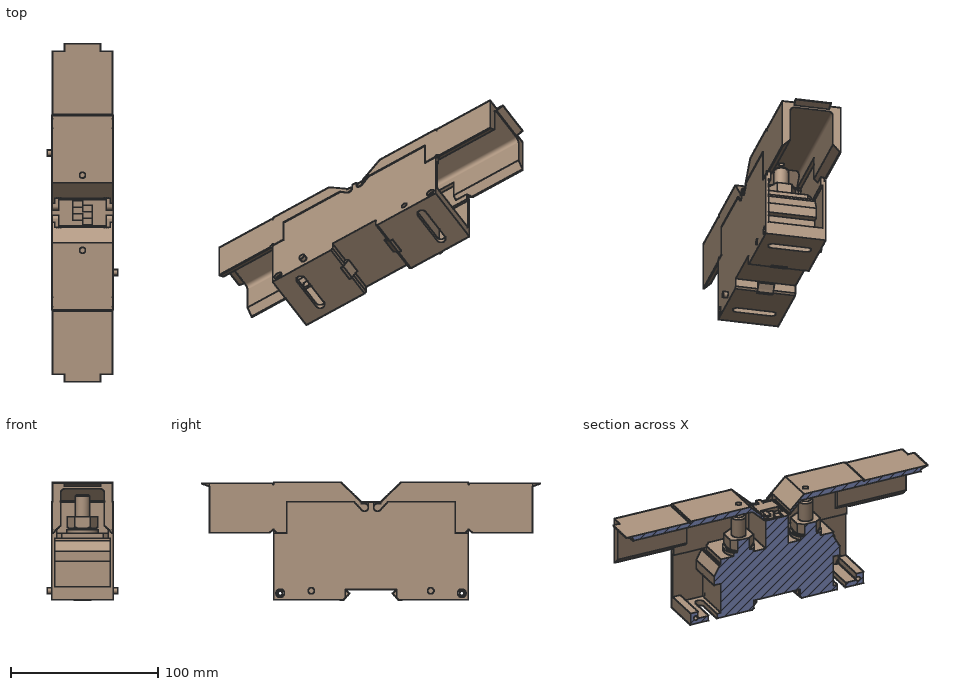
import cadquery as cq
import math


BODY_WIDTH = 42.0
BODY_LENGTH = 132.0
BODY_HEIGHT = 66.5
SHOULDER_Y = 57.2
SHOULDER_Z = 45.2

RAIL_WIDTH = 35.0
RAIL_DEPTH = 7.0
RAIL_LEAD_IN = 1.3
CLIP_WIDTH = 11.0
CLIP_DROP = 0.33
CLIP_REACH = 3.0
CLIP_TIP_Z = 4.4
CLIP_FOOT_END_Y = 21.0

SCREW_Y = 61.7
SCREW_Z = 4.5
SCREW_HOLE_D = 3.0
SCREW_HEAD_D = 5.6
SCREW_HEAD_DEPTH = 2.0
PIN_Y = 40.5
PIN_Z = 6.2
PIN_D = 4.2
PIN_REACH = 3.0
PIN_HOLE_DEPTH = 4.0

SHOULDER_CORE_WIDTH = 40.0
LOWER_CHAMBER_WIDTH = 38.0
UPPER_CHAMBER_WIDTH = 35.0
SILL_Z = 9.0
SILL_DEPTH = 5.8
FLOOR_Z = 4.0
BACK_WALL_Y = 43.0
NOSE_REACH = 5.0
NOSE_BOTTOM_Z = 26.1
NOSE_TOP_Z = 33.1
NOSE_SLOPE_TOP_Z = 40.3
NOSE_SLOPE_RUN = 4.0
TERMINAL_FLOOR_Z = 41.7
FLOOR_SLOT_LENGTH = 30.0
FLOOR_SLOT_WIDTH = 6.2
FLOOR_SLOT_Y = 49.0

STUD_Y = 25.5
STUD_D = 10.0
STUD_TOP_Z = 71.4
STUD_CHAMFER = 1.2
BUSBAR_TOP_Z = 45.2
BUSBAR_END_Y = 43.0
BUSBAR_CORNER = 3.5
WASHER_D = 21.6
WASHER_TOP_Z = 47.5
COLLAR_D = 18.0
COLLAR_TOP_Z = 48.6
NUT_CORNER_D = 20.4
NUT_TOP_Z = 56.6
NUT_CHAMFER = 0.8

COVER_WIDTH = 41.0
COVER_TOP_Z = 80.0
COVER_BOTTOM_Z = 45.5
COVER_END_Y = 109.7
SLOPE_START_Y = 20.5
SLOPE_FOOT_Y = 6.5
EXTENSION_TOP_Z = 79.3
TUNNEL_WIDTH = 29.8
TUNNEL_TOP_Z = 75.4
TUNNEL_RADIUS = 3.0
WALL_FOOT_BEVEL = 4.9
ROOF_EDGE_UNDERSIDE_Z = 67.0
SCORE_Y = 66.3
SCORE_HALF_WIDTH = 2.6
SCORE_HEIGHT = 2.2
TOP_SCORE_HALF_WIDTH = 0.5
TOP_SCORE_Z = 78.3
PROBE_HOLE_D = 4.0
TAB_WIDTH = 24.6
OVERALL_LENGTH = 229.5
TAB_TIP_THICKNESS = 0.5
TAB_ROOT_THICKNESS = 2.3

ARM_Y = 4.4
ARM_Z = 62.8
ARM_RADIUS = 2.6
ARM_UNDERSIDE_Y = 11.4
ARM_INNER_X = 16.1
CHEEK_INNER_X = 19.0
ROOF_END_Y = 10.0
HINGE_SLOT_END_Y = 1.7

PANEL_HALF_LENGTH = 8.9
GAP_DEPTH = 1.5
WINDOW_WIDTH = 6.5
WINDOW_CELL = 4.4
WINDOW_START_Y = 8.0
WINDOW_STEP = 1.0
WINDOW_CELLS = 3

body_end = BODY_LENGTH / 2
tab_end = OVERALL_LENGTH / 2
rail_half = RAIL_WIDTH / 2
slope_run_per_height = (SLOPE_START_Y - SLOPE_FOOT_Y) / (COVER_TOP_Z - BODY_HEIGHT)


def box(x0, x1, y0, y1, z0, z1):
    """Box between two opposite corners."""
    return cq.Workplane("XY").box(x1 - x0, y1 - y0, z1 - z0, centered=False).translate((x0, y0, z0))


def across(outline, width):
    """Solid from a (Y, Z) outline, centred across X."""
    return cq.Workplane("YZ").polyline(outline).close().extrude(width / 2, both=True)


def x_cylinder(diameter, x0, x1, y, z):
    """Cylinder lying along X."""
    return cq.Workplane("YZ").center(y, z).circle(diameter / 2).extrude(x1 - x0).translate((x0, 0, 0))


def z_cylinder(diameter, y, z0, z1):
    """Upright cylinder on the centre plane."""
    return cq.Workplane("XY", origin=(0, y, z0)).circle(diameter / 2).extrude(z1 - z0)


def half_turn(shape):
    """The same shape at the opposite end."""
    return shape.rotate((0, 0, 0), (0, 0, 1), 180)


def mirror_x(shape):
    return shape.mirror("YZ")


def rail_notch():
    lead_in = rail_half + RAIL_LEAD_IN
    outline = [
        (-lead_in, 0), (-rail_half, RAIL_LEAD_IN), (-rail_half, RAIL_DEPTH),
        (rail_half, RAIL_DEPTH), (rail_half, RAIL_LEAD_IN), (lead_in, 0),
    ]
    return across(outline, BODY_WIDTH)


def rail_clip():
    outline = [
        (rail_half, RAIL_DEPTH),
        (rail_half - CLIP_REACH, CLIP_TIP_Z),
        (rail_half, RAIL_LEAD_IN),
        (rail_half + RAIL_LEAD_IN, -CLIP_DROP),
        (CLIP_FOOT_END_Y, -CLIP_DROP),
        (CLIP_FOOT_END_Y, RAIL_DEPTH),
    ]
    return across(outline, CLIP_WIDTH)


def terminal_chamber():
    """Open end of the housing: stepped lower pocket, upper pocket and slotted floor."""
    sill_y = body_end - SILL_DEPTH
    nose_y = BACK_WALL_Y + NOSE_REACH
    nose_top_y = nose_y - NOSE_SLOPE_RUN
    lower = across([
        (body_end, SILL_Z), (sill_y, SILL_Z), (sill_y, FLOOR_Z), (BACK_WALL_Y, FLOOR_Z),
        (BACK_WALL_Y, NOSE_BOTTOM_Z), (nose_y, NOSE_BOTTOM_Z), (nose_y, NOSE_TOP_Z),
        (nose_top_y, NOSE_SLOPE_TOP_Z), (nose_top_y, TERMINAL_FLOOR_Z), (body_end, TERMINAL_FLOOR_Z),
    ], LOWER_CHAMBER_WIDTH)
    half = UPPER_CHAMBER_WIDTH / 2
    upper = box(-half, half, PANEL_HALF_LENGTH, body_end, TERMINAL_FLOOR_Z, BODY_HEIGHT)
    slot = cq.Workplane("XY", origin=(0, FLOOR_SLOT_Y, 0))
    slot = slot.slot2D(FLOOR_SLOT_LENGTH, FLOOR_SLOT_WIDTH).extrude(FLOOR_Z)
    return lower.union(upper).union(slot)


def hinge_arm():
    """Round-ended hinge arm on the +X side, running down along the cover slope."""
    diagonal = ARM_RADIUS * math.sqrt(0.5)
    thickness = COVER_WIDTH / 2 - ARM_INNER_X
    shank = (
        cq.Workplane("YZ")
        .polyline([
            (ARM_Y, ARM_Z), (ARM_Y, ARM_Z + ARM_RADIUS), (SLOPE_FOOT_Y, ARM_Z + ARM_RADIUS),
            (SLOPE_FOOT_Y, BODY_HEIGHT), (ARM_UNDERSIDE_Y, BODY_HEIGHT), (ARM_Y + diagonal, ARM_Z - diagonal),
        ])
        .close().extrude(thickness).translate((ARM_INNER_X, 0, 0))
    )
    knuckle = x_cylinder(2 * ARM_RADIUS, ARM_INNER_X, COVER_WIDTH / 2, ARM_Y, ARM_Z)
    return shank.union(knuckle)


def hinge_slot():
    """Room for one hinge arm, open to the side and the top of the housing."""
    side = BODY_WIDTH / 2
    opening = box(ARM_INNER_X, side, HINGE_SLOT_END_Y, SLOPE_FOOT_Y, ARM_Z, BODY_HEIGHT)
    relief = box(ARM_INNER_X, CHEEK_INNER_X, SLOPE_FOOT_Y, ROOF_END_Y, ARM_Z, BODY_HEIGHT)
    clearance = hinge_arm().union(hinge_arm().translate((side - COVER_WIDTH / 2, 0, 0)))
    return opening.union(relief).union(clearance)


def panel_gap():
    """Shallow gap between the centre panel and the end of the cover roof."""
    top = BODY_HEIGHT
    return box(-CHEEK_INNER_X, CHEEK_INNER_X, PANEL_HALF_LENGTH, ROOF_END_Y, top - GAP_DEPTH, top)


def panel_window():
    """Column of stepped cells in the centre panel."""
    cells = cq.Workplane("XY")
    for i in range(WINDOW_CELLS):
        y = WINDOW_START_Y - i * WINDOW_CELL
        depth = (WINDOW_CELLS - i) * WINDOW_STEP
        cells = cells.union(box(-WINDOW_WIDTH, 0, y - WINDOW_CELL, y, BODY_HEIGHT - depth, BODY_HEIGHT))
    return cells


def screw_hole():
    side = BODY_WIDTH / 2
    bore = x_cylinder(SCREW_HOLE_D, -side, side, SCREW_Y, SCREW_Z)
    head = x_cylinder(SCREW_HEAD_D, side - SCREW_HEAD_DEPTH, side, SCREW_Y, SCREW_Z)
    return bore.union(head).union(mirror_x(head))


def pin_hole():
    side = BODY_WIDTH / 2
    return x_cylinder(PIN_D, side - PIN_HOLE_DEPTH, side, PIN_Y, PIN_Z)


def coupling_pin():
    side = BODY_WIDTH / 2
    return x_cylinder(PIN_D, -side - PIN_REACH, -side + PIN_REACH, PIN_Y, PIN_Z)


def housing():
    side = BODY_WIDTH / 2
    shape = box(-side, side, -body_end, body_end, 0, BODY_HEIGHT).cut(rail_notch())
    shoulder = box(SHOULDER_CORE_WIDTH / 2, side, SHOULDER_Y, body_end, SHOULDER_Z, BODY_HEIGHT)
    cuts = [
        shoulder, mirror_x(shoulder), terminal_chamber(), hinge_slot(), mirror_x(hinge_slot()),
        panel_gap(), panel_window(), screw_hole(), pin_hole(),
    ]
    for cut in cuts:
        shape = shape.cut(cut).cut(half_turn(cut))
    for added in (rail_clip(), coupling_pin()):
        shape = shape.union(added).union(half_turn(added))
    return shape


def terminal():
    """Busbar with washer, nut and threaded stud."""
    half = UPPER_CHAMBER_WIDTH / 2
    busbar = box(-half, half, PANEL_HALF_LENGTH, BUSBAR_END_Y, TERMINAL_FLOOR_Z, BUSBAR_TOP_Z)
    busbar = busbar.edges("|Z and >Y").chamfer(BUSBAR_CORNER)
    washer = z_cylinder(WASHER_D, STUD_Y, BUSBAR_TOP_Z, WASHER_TOP_Z)
    collar = z_cylinder(COLLAR_D, STUD_Y, WASHER_TOP_Z, COLLAR_TOP_Z)
    nut = cq.Workplane("XY", origin=(0, STUD_Y, COLLAR_TOP_Z))
    nut = nut.polygon(6, NUT_CORNER_D).extrude(NUT_TOP_Z - COLLAR_TOP_Z)
    rounding = z_cylinder(NUT_CORNER_D, STUD_Y, COLLAR_TOP_Z, NUT_TOP_Z).faces("<Z").chamfer(NUT_CHAMFER)
    nut = nut.intersect(rounding).union(collar)
    stud = z_cylinder(STUD_D, STUD_Y, TERMINAL_FLOOR_Z, STUD_TOP_Z).faces(">Z").chamfer(STUD_CHAMFER)
    return busbar.union(washer).union(nut).union(stud)


def cover_tunnel():
    """Cable space under the cover, widening at the feet of the side walls."""
    slope_run = (TUNNEL_TOP_Z - ROOF_EDGE_UNDERSIDE_Z) * slope_run_per_height
    outline = [
        (COVER_END_Y, COVER_BOTTOM_Z), (COVER_END_Y, TUNNEL_TOP_Z), (ROOF_END_Y + slope_run, TUNNEL_TOP_Z),
        (ROOF_END_Y, ROOF_EDGE_UNDERSIDE_Z), (ROOF_END_Y, COVER_BOTTOM_Z),
    ]
    half = TUNNEL_WIDTH / 2
    foot = half + WALL_FOOT_BEVEL
    section = (
        cq.Workplane("XZ", origin=(0, COVER_END_Y, 0))
        .polyline([
            (-foot, COVER_BOTTOM_Z), (-half, COVER_BOTTOM_Z + WALL_FOOT_BEVEL), (-half, TUNNEL_TOP_Z),
            (half, TUNNEL_TOP_Z), (half, COVER_BOTTOM_Z + WALL_FOOT_BEVEL), (foot, COVER_BOTTOM_Z),
        ])
        .close().extrude(COVER_END_Y)
        .edges("|Y and >Z").fillet(TUNNEL_RADIUS)
    )
    return section.intersect(across(outline, BODY_WIDTH))


def end_tab():
    outline = [
        (COVER_END_Y, EXTENSION_TOP_Z), (tab_end, EXTENSION_TOP_Z),
        (tab_end, EXTENSION_TOP_Z - TAB_TIP_THICKNESS),
        (COVER_END_Y, EXTENSION_TOP_Z - TAB_ROOT_THICKNESS),
    ]
    return across(outline, TAB_WIDTH)


def cover():
    shell = across([
        (COVER_END_Y, COVER_BOTTOM_Z), (COVER_END_Y, EXTENSION_TOP_Z),
        (SCORE_Y + TOP_SCORE_HALF_WIDTH, EXTENSION_TOP_Z), (SCORE_Y, TOP_SCORE_Z),
        (SCORE_Y - TOP_SCORE_HALF_WIDTH, COVER_TOP_Z), (SLOPE_START_Y, COVER_TOP_Z),
        (SLOPE_FOOT_Y, BODY_HEIGHT), (SHOULDER_Y, BODY_HEIGHT), (SHOULDER_Y, COVER_BOTTOM_Z),
        (SCORE_Y - SCORE_HALF_WIDTH, COVER_BOTTOM_Z), (SCORE_Y, COVER_BOTTOM_Z + SCORE_HEIGHT),
        (SCORE_Y + SCORE_HALF_WIDTH, COVER_BOTTOM_Z),
    ], COVER_WIDTH)
    roof_end = box(-CHEEK_INNER_X, CHEEK_INNER_X, 0, ROOF_END_Y, ARM_Z + ARM_RADIUS, COVER_TOP_Z)
    probe_hole = z_cylinder(PROBE_HOLE_D, STUD_Y, TUNNEL_TOP_Z, COVER_TOP_Z)
    shell = shell.cut(cover_tunnel()).cut(probe_hole)
    shell = shell.union(end_tab()).union(hinge_arm()).union(mirror_x(hinge_arm()))
    return shell.cut(roof_end)


result = housing()
for end_part in (terminal(), cover()):
    result = result.union(end_part).union(half_turn(end_part))